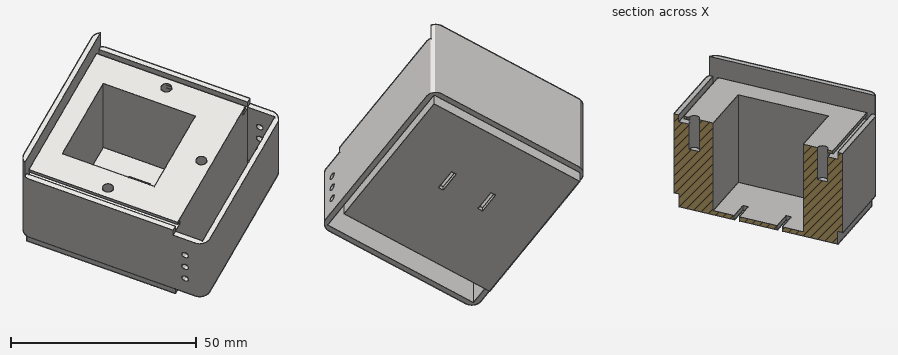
import cadquery as cq

LENGTH = 55.0
WIDTH = 50.0
HEIGHT = 35.0
MID_Y = WIDTH / 2

WALL = 1.5
CORNER_RADIUS = 3.0
SLEEVE_BOTTOM = 4.0
PLATE_RISE = 6.0
SIDE_TOP = HEIGHT - PLATE_RISE
REAR_STEP = 2.15
REAR_TOP = SIDE_TOP - REAR_STEP

CORE_END = 45.5
CORE_LENGTH = CORE_END - WALL
CORE_MID_X = (WALL + CORE_END) / 2
CORE_WIDTH = WIDTH - 2 * WALL

GROOVE_MOUTH = WALL
GROOVE_WIDTH = 2 * WALL
GROOVE_DEPTH = REAR_STEP
LIP_THICKNESS = 1.0

POCKET_LENGTH = 27.2
POCKET_WIDTH = 26.6
POCKET_MID_X = 21.0
FLOOR = 1.5
SLOT_LENGTH = 6.3
SLOT_WIDTH = 1.5
SLOT_SPACING = 12.7

SCREW_DIAMETER = 2.9
SCREW_DEPTH = 10.0
SCREW_OFFSET = 19.0

CROSS_DIAMETER = 2.0
CROSS_X = 49.0
CROSS_BOTTOM_Z = 10.0
CROSS_PITCH = 5.0
CROSS_COUNT = 3


def box(x, y, z, length, width, height):
    """Box with its lower corner at (x, y, z)."""
    return cq.Workplane("XY").box(length, width, height, centered=False).translate((x, y, z))


def make_sleeve():
    sleeve = box(0, 0, SLEEVE_BOTTOM, LENGTH, WIDTH, HEIGHT - SLEEVE_BOTTOM)
    sleeve = sleeve.edges("|Z").fillet(CORNER_RADIUS)
    inside = box(WALL, WALL, 0, LENGTH - 2 * WALL, CORE_WIDTH, HEIGHT)
    above_sides = box(WALL, 0, SIDE_TOP, LENGTH, WIDTH, HEIGHT)
    above_rear = box(CORE_END, 0, REAR_TOP, LENGTH, WIDTH, HEIGHT)
    return sleeve.cut(inside).cut(above_sides).cut(above_rear)


def make_core():
    """Block with a narrow mouth between lip and wall, widening to a groove below."""
    core = box(WALL, WALL, 0, CORE_LENGTH, CORE_WIDTH, SIDE_TOP)
    mouth = box(WALL, WALL, REAR_TOP, CORE_LENGTH, GROOVE_MOUTH, GROOVE_DEPTH)
    undercut_height = GROOVE_DEPTH - LIP_THICKNESS
    undercut = box(WALL, WALL, REAR_TOP, CORE_LENGTH, GROOVE_WIDTH, undercut_height)
    near_groove = mouth.union(undercut)
    far_groove = near_groove.mirror("XZ", (0, MID_Y, 0))
    return core.cut(near_groove).cut(far_groove)


def make_pocket():
    pocket = box(
        POCKET_MID_X - POCKET_LENGTH / 2, MID_Y - POCKET_WIDTH / 2, FLOOR,
        POCKET_LENGTH, POCKET_WIDTH, HEIGHT,
    )
    slots = (
        cq.Workplane("XY")
        .center(POCKET_MID_X, MID_Y)
        .rarray(0.55, SLOT_SPACING, 1, 2)
        .rect(SLOT_LENGTH, SLOT_WIDTH)
        .extrude(HEIGHT)
    )
    return pocket.union(slots)


def make_screw_holes():
    """Three holes at equal distance from the middle of the core."""
    return (
        cq.Workplane("XY", origin=(CORE_MID_X, MID_Y, SIDE_TOP))
        .pushPoints([(0, -SCREW_OFFSET), (0, SCREW_OFFSET), (SCREW_OFFSET, 0)])
        .circle(SCREW_DIAMETER / 2)
        .extrude(-SCREW_DEPTH)
    )


def make_cross_holes():
    centers = [(CROSS_X, CROSS_BOTTOM_Z + i * CROSS_PITCH) for i in range(CROSS_COUNT)]
    return (
        cq.Workplane("XZ")
        .pushPoints(centers)
        .circle(CROSS_DIAMETER / 2)
        .extrude(-WIDTH)
    )


result = (
    make_sleeve()
    .union(make_core())
    .cut(make_pocket())
    .cut(make_screw_holes())
    .cut(make_cross_holes())
)